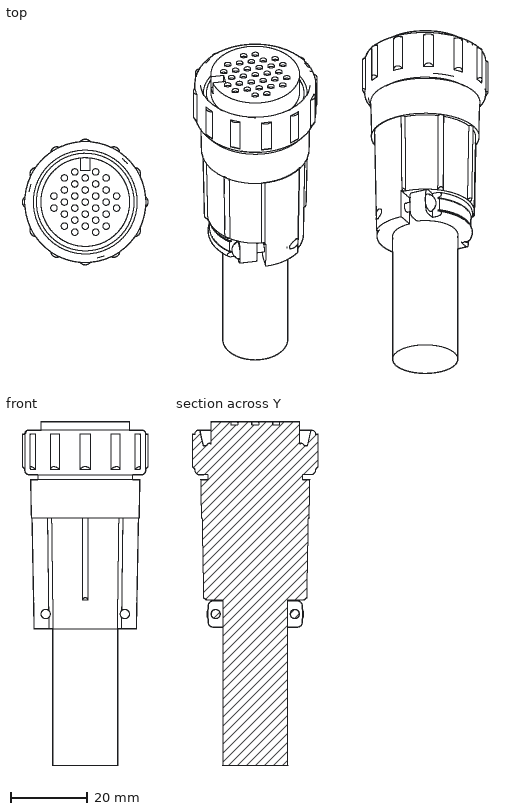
import cadquery as cq
import math

TOTAL_HEIGHT = 90.2

CABLE_RADIUS = 8.6
BODY_BOTTOM = 35.8
BODY_TOP = 74.9
BODY_BOTTOM_RADIUS = 13.4
BODY_SHOULDER_RADIUS = 14.0
COLLAR_BOTTOM = 64.8
COLLAR_BOTTOM_RADIUS = 14.2
COLLAR_TOP_RADIUS = 14.3
RIB_INSET = 0.77
RIB_RADIUS = 0.75
RIB_COUNT = 8
FRONT_DIAGONALS = (225, 315)
RIB_END_RISE = 0.6
HALF_BODY_TOP = 43.4
HALF_BODY_FACE_Y = -0.3

CLAMP_BOTTOM = 36.25
CLAMP_TOP = 43.2
CLAMP_CENTRE = (CLAMP_BOTTOM + CLAMP_TOP) / 2
LUG_HALF_WIDTH = 12.35
LUG_START_Y = 1.8
LUG_END_Y = 6.4
LUG_FILLET = 1.35
SADDLE_HALF_WIDTH = 8.5
SADDLE_RADIUS = 12.0
SADDLE_RIDGE_RADIUS = 0.77
SADDLE_EDGE_DROP = 0.4
SADDLE_BAND_HEIGHT = 3.3

SCREW_X = 10.4
SCREW_RADIUS = 1.22
SCREW_HEAD_RADIUS = 2.3
SCREW_HEAD_HEIGHT = 1.7
SCREW_HOLE_FLOOR_Y = -6.3

NECK_RADIUS = 12.4
RING_BOTTOM = 76.2
RING_RIM_TOP = 77.6
RING_SHOULDER = 86.8
RING_TOP = 87.9
RING_RADIUS = 15.9
RING_BOTTOM_RADIUS = 14.9
RING_LIP_RADIUS = 15.0
RING_BORE_TOP_RADIUS = 14.4
RING_BORE_FLOOR_RADIUS = 13.6
RING_BORE_FLOOR = 83.9
RING_LIP_DROP = 0.45
GRIP_OUTER_RADIUS = 16.5
GRIP_RIB_RADIUS = 1.6
GRIP_RIB_COUNT = 12
GRIP_END_CHAMFER = 0.7

INSERT_RADIUS = 11.6
SEAL_RADIUS = 12.2
SEAL_SECTION_RADIUS = 0.6
PIN_PITCH = 3.2
PIN_RADIUS = 0.86
PIN_DEPTH = 0.9
PIN_COLUMNS = (5, 6, 5, 2)
KEYWAY_WIDTH = 2.5
KEYWAY_INNER_Y = 8.2
KEYWAY_DEPTH = 3.6


def disc(radius, bottom, top):
    return cq.Workplane("XY").workplane(offset=bottom).circle(radius).extrude(top - bottom)


def revolved(points):
    return cq.Workplane("XZ").polyline(points).close().revolve(360, (0, 0, 0), (0, 1, 0))


def body_radius(z):
    """Radius of the tapered body, over its ribs, at height z."""
    fraction = (z - BODY_BOTTOM) / (COLLAR_BOTTOM - BODY_BOTTOM)
    return BODY_BOTTOM_RADIUS + fraction * (BODY_SHOULDER_RADIUS - BODY_BOTTOM_RADIUS)


def body_rib(angle, bottom):
    """Half-round rib along the tapered body at the given angle, from height bottom to the collar."""
    middle = (COLLAR_BOTTOM + BODY_TOP) / 2
    start = cq.Vector(body_radius(bottom) - RIB_INSET, 0, bottom)
    axis = cq.Vector(body_radius(middle) - RIB_INSET, 0, middle) - start
    rib = cq.Solid.makeCylinder(RIB_RADIUS, axis.Length, start, axis)
    return cq.Workplane(obj=rib).rotate((0, 0, 0), (0, 0, 1), angle)


def rib_end_bevel():
    """Ring that trims the lower ends of the short ribs to a slope."""
    root = body_radius(HALF_BODY_TOP) - RIB_INSET
    reach = 2 * RIB_INSET
    return revolved([
        (root, HALF_BODY_TOP - RIB_END_RISE),
        (root, HALF_BODY_TOP),
        (root + reach, HALF_BODY_TOP + 2 * RIB_END_RISE),
        (root + reach, HALF_BODY_TOP - RIB_END_RISE),
    ])


def body_ribs():
    """Short ribs all round, and two long ones along the edges of the raised sectors."""
    ribs = None
    for index in range(RIB_COUNT):
        angle = index * 360 / RIB_COUNT
        if angle not in FRONT_DIAGONALS:
            rib = body_rib(angle, HALF_BODY_TOP).cut(rib_end_bevel())
            ribs = rib if ribs is None else ribs.union(rib)
    for angle in FRONT_DIAGONALS:
        ribs = ribs.union(body_rib(angle, BODY_BOTTOM))
    return ribs.intersect(disc(2 * COLLAR_TOP_RADIUS, BODY_BOTTOM, BODY_TOP))


def sunken_band(start_angle, sweep):
    """Volume removed to sink the body surface below the collar over a range of angles."""
    clear = 2 * COLLAR_TOP_RADIUS
    band = cq.Workplane("XZ").polyline([
        (body_radius(BODY_BOTTOM) - RIB_INSET, BODY_BOTTOM),
        (body_radius(COLLAR_BOTTOM) - RIB_INSET, COLLAR_BOTTOM),
        (clear, COLLAR_BOTTOM),
        (clear, BODY_BOTTOM),
    ]).close().revolve(sweep, (0, 0, 0), (0, -1, 0))
    return band.rotate((0, 0, 0), (0, 0, 1), start_angle + sweep)


def rear_body():
    """Tapered body; the two sectors between the sides and the front diagonals stay raised."""
    body = revolved([
        (0, BODY_BOTTOM),
        (BODY_BOTTOM_RADIUS, BODY_BOTTOM),
        (BODY_SHOULDER_RADIUS, COLLAR_BOTTOM),
        (COLLAR_BOTTOM_RADIUS, COLLAR_BOTTOM),
        (COLLAR_TOP_RADIUS, BODY_TOP),
        (0, BODY_TOP),
    ])
    body = body.cut(sunken_band(0, 180))
    body = body.cut(sunken_band(FRONT_DIAGONALS[0], FRONT_DIAGONALS[1] - FRONT_DIAGONALS[0]))
    body = body.union(body_ribs())
    size = 3 * COLLAR_TOP_RADIUS
    open_half = cq.Workplane("XY").box(size, size, HALF_BODY_TOP, centered=(True, False, False))
    body = body.cut(open_half.translate((0, HALF_BODY_FACE_Y, 0)))
    return body.cut(screw_rods(SCREW_HOLE_FLOOR_Y, -COLLAR_TOP_RADIUS))


def screw_rods(start_y, end_y):
    return (
        cq.Workplane("XZ", origin=(0, start_y, 0))
        .pushPoints([(-SCREW_X, CLAMP_CENTRE), (SCREW_X, CLAMP_CENTRE)])
        .circle(SCREW_RADIUS)
        .extrude(start_y - end_y)
    )


def screw_head(x):
    """Domed screw head standing on the back of a clamp lug."""
    dome_radius = (SCREW_HEAD_RADIUS ** 2 + SCREW_HEAD_HEIGHT ** 2) / (2 * SCREW_HEAD_HEIGHT)
    crown_y = LUG_END_Y + SCREW_HEAD_HEIGHT
    dome = cq.Workplane("XY").sphere(dome_radius).translate((x, crown_y - dome_radius, CLAMP_CENTRE))
    bounds = cq.Workplane("XZ", origin=(x, LUG_END_Y, CLAMP_CENTRE)).rect(
        4 * dome_radius, 4 * dome_radius
    ).extrude(-dome_radius)
    return dome.intersect(bounds)


def clamp():
    height = CLAMP_TOP - CLAMP_BOTTOM
    lugs = (
        cq.Workplane("XY", origin=(0, LUG_START_Y, CLAMP_BOTTOM))
        .box(2 * LUG_HALF_WIDTH, LUG_END_Y - LUG_START_Y, height, centered=(True, False, False))
        .edges("|Y")
        .fillet(LUG_FILLET)
    )
    edge_radius = SADDLE_RADIUS - SADDLE_EDGE_DROP
    saddle = disc(edge_radius, CLAMP_BOTTOM, CLAMP_TOP)
    half_band = SADDLE_BAND_HEIGHT / 2
    saddle = saddle.union(disc(SADDLE_RADIUS, CLAMP_CENTRE - half_band, CLAMP_CENTRE + half_band))
    for ridge_z in (CLAMP_BOTTOM + SADDLE_RIDGE_RADIUS, CLAMP_TOP - SADDLE_RIDGE_RADIUS):
        ridge = cq.Solid.makeTorus(edge_radius, SADDLE_RIDGE_RADIUS, cq.Vector(0, 0, ridge_z))
        saddle = saddle.union(cq.Workplane(obj=ridge))
    bounds = cq.Workplane("XY", origin=(0, LUG_START_Y, CLAMP_BOTTOM)).box(
        2 * SADDLE_HALF_WIDTH, 2 * SADDLE_RADIUS, height, centered=(True, False, False)
    )
    saddle = saddle.intersect(bounds)
    for side in (-1, 1):
        lugs = lugs.union(screw_head(side * SCREW_X))
    return lugs.union(saddle).union(screw_rods(LUG_START_Y, HALF_BODY_FACE_Y))


def grip_ribs():
    axis_radius = GRIP_OUTER_RADIUS - GRIP_RIB_RADIUS
    ribs = (
        cq.Workplane("XY", origin=(0, 0, RING_RIM_TOP))
        .polarArray(axis_radius, 0, 360, GRIP_RIB_COUNT)
        .circle(GRIP_RIB_RADIUS)
        .extrude(RING_SHOULDER - RING_RIM_TOP)
    )
    envelope = revolved([
        (RING_BORE_TOP_RADIUS, RING_RIM_TOP),
        (RING_RADIUS, RING_RIM_TOP),
        (GRIP_OUTER_RADIUS, RING_RIM_TOP + GRIP_END_CHAMFER),
        (GRIP_OUTER_RADIUS, RING_SHOULDER),
        (RING_BORE_TOP_RADIUS, RING_SHOULDER),
    ])
    return ribs.intersect(envelope)


def rounded_middle(side_radius, end_radius, side_z, end_z):
    """Middle point of a rounded ring edge between a side wall and an end face."""
    bulge = math.sqrt(0.5)
    radius = end_radius + (side_radius - end_radius) * bulge
    return radius, side_z + (end_z - side_z) * bulge


def coupling_ring():
    lip_middle = rounded_middle(RING_RADIUS, RING_LIP_RADIUS, RING_SHOULDER, RING_TOP)
    bore_edge = RING_TOP - RING_LIP_DROP
    bore_middle = rounded_middle(RING_BORE_TOP_RADIUS, RING_LIP_RADIUS, bore_edge, RING_TOP)
    rim_middle = rounded_middle(RING_RADIUS, RING_BOTTOM_RADIUS, RING_RIM_TOP, RING_BOTTOM)
    profile = (
        cq.Workplane("XZ")
        .moveTo(0, RING_BOTTOM)
        .lineTo(RING_BOTTOM_RADIUS, RING_BOTTOM)
        .threePointArc(rim_middle, (RING_RADIUS, RING_RIM_TOP))
        .lineTo(RING_RADIUS, RING_SHOULDER)
        .threePointArc(lip_middle, (RING_LIP_RADIUS, RING_TOP))
        .threePointArc(bore_middle, (RING_BORE_TOP_RADIUS, bore_edge))
        .lineTo(RING_BORE_FLOOR_RADIUS, RING_BORE_FLOOR)
        .lineTo(0, RING_BORE_FLOOR)
        .close()
    )
    ring = profile.revolve(360, (0, 0, 0), (0, 1, 0))
    return ring.union(grip_ribs())


def pin_points():
    points = []
    column_spacing = PIN_PITCH * math.sqrt(3) / 2
    for column, count in enumerate(PIN_COLUMNS):
        for row in range(count):
            y = (row - (count - 1) / 2) * PIN_PITCH
            for x in sorted({-column * column_spacing, column * column_spacing}):
                points.append((x, y))
    return points


def contact_insert():
    insert = disc(INSERT_RADIUS, RING_BORE_FLOOR, TOTAL_HEIGHT)
    seal = cq.Solid.makeTorus(SEAL_RADIUS, SEAL_SECTION_RADIUS, cq.Vector(0, 0, RING_BORE_FLOOR))
    pins = (
        cq.Workplane("XY", origin=(0, 0, TOTAL_HEIGHT))
        .pushPoints(pin_points())
        .circle(PIN_RADIUS)
        .extrude(-PIN_DEPTH)
    )
    keyway = cq.Workplane("XY", origin=(0, KEYWAY_INNER_Y, TOTAL_HEIGHT - KEYWAY_DEPTH)).box(
        KEYWAY_WIDTH, INSERT_RADIUS, KEYWAY_DEPTH, centered=(True, False, False)
    )
    return insert.cut(pins).cut(keyway).union(cq.Workplane(obj=seal))


result = (
    disc(CABLE_RADIUS, 0, HALF_BODY_TOP)
    .union(rear_body())
    .union(clamp())
    .union(disc(NECK_RADIUS, BODY_TOP, RING_BOTTOM))
    .union(coupling_ring())
    .union(contact_insert())
)